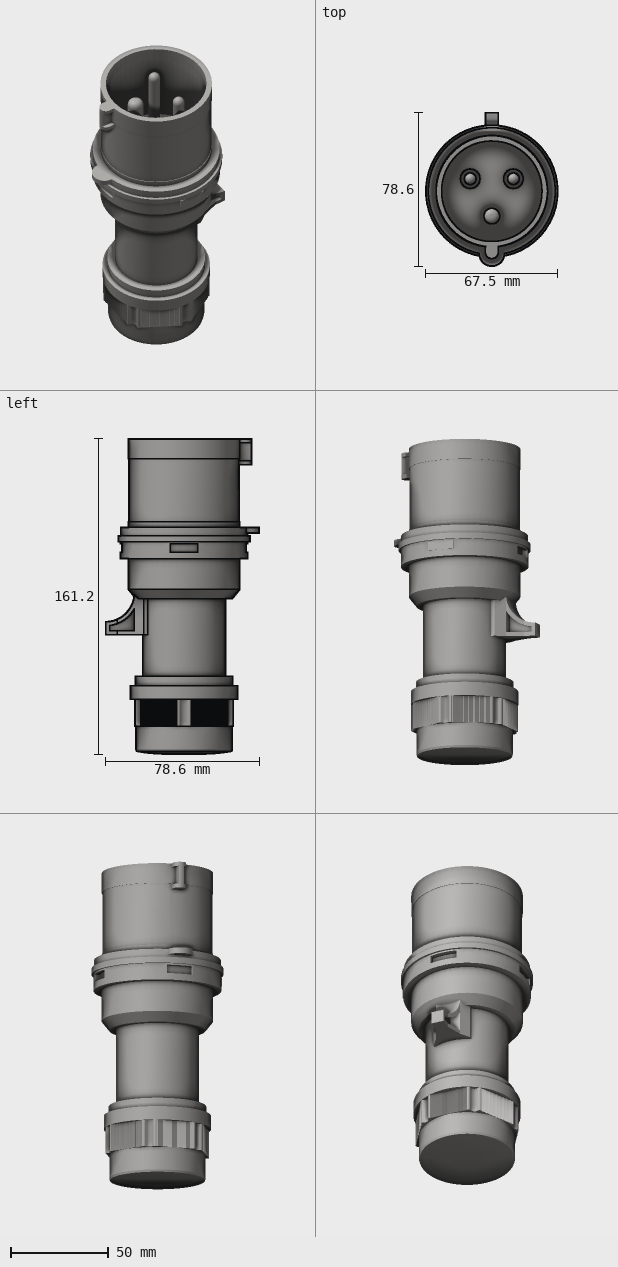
import cadquery as cq
import math

CAP_CORNER_Z = 1.5
CAP_EDGE_Z = 2.5
KNURL_BOTTOM_Z = 14.4
KNURL_TOP_Z = 28.0
NUT_TOP_Z = 35.0
NECK_BOTTOM_Z = 39.8
CONE_BOTTOM_Z = 79.5
CONE_TOP_Z = 84.3
COLLAR_BOTTOM_Z = 100.0
SPLIT_Z = 108.5
FLANGE_TOP_Z = 111.6
RING_TOP_Z = 116.0
ROOT_TOP_Z = 118.8
TIP_BAND_Z = 151.0
MOUTH_Z = 161.2

SHROUD_DIAMETER = 57.1
BARREL_DIAMETER = 56.5
CAVITY_DIAMETER = 51.5
FLANGE_DIAMETER = 67.5
RING_DIAMETER = 65.0
TAB_RADIUS = 6.5
TAB_REACH = 38.4
TAB_THICKNESS = 2.9
KEY_WIDTH = 6.6
KEY_REACH = 34.5
KEY_HEIGHT = 13.4
KEY_FLANGE = 2.1
KEY_WEB = 2.5

PIN_CIRCLE_RADIUS = 12.7
LIVE_PIN_DIAMETER = 6.0
EARTH_PIN_DIAMETER = 8.0
EARTH_TIP_FLAT = 2.1
SLEEVE_DIAMETER = 10.0
PIN_TOP_Z = 156.3
LIVE_PIN_ANGLES = (30, 150)
EARTH_PIN_ANGLE = 270

COLLAR_DIAMETER = 65.3
WINDOW_FLOOR_DIAMETER = 59.7
WINDOW_WIDTH = 14.2
WINDOW_HEIGHT = 4.4
WINDOW_BOTTOM_Z = 103.4
WINDOW_ANGLES = (90, 180, 270)
PAD_REACH = 32.7
CONE_SMALL_DIAMETER = 49.3
NECK_DIAMETER = 42.4
HANDLE_FOOT_DIAMETER = 50.0

LEVER_TIP_Y = 40.2
LEVER_FLARE_Y = 34.2
LEVER_ROOT_Y = 25.5
SADDLE_EDGE_Y = 20.6
LEVER_BOTTOM_Z = 61.0
LEVER_TIP_HEIGHT = 6.8
LEVER_WIDTH = 6.6
LEVER_ROOT_WIDTH = 13.2
SADDLE_WIDTH = 20.3
LEVER_RIM = 2.1
LEVER_WEB = 2.5

NUT_DIAMETER = 55.0
CAP_DIAMETER = 49.3
CAP_BEVEL = 0.3
CAP_END_DIAMETER = 19.4
SHOULDER_BULGE = 0.3
GRIP_SIDES = 6
GRIP_APOTHEM = 25.2
GRIP_TEETH = 36
TOOTH_DEPTH = 0.5
CORNER_HALF_WIDTH = 3.7
RIDGE_INNER_OFFSET = 2.18
RIDGE_RISE = 0.24
NOTCH_FLOOR_OFFSET = 1.21
NOTCH_FLOOR_RADIUS = 26.0
NOTCH_DEEPEST_RADIUS = 25.6


def disc(diameter, bottom, top):
    """Solid cylinder on the plug axis between two heights."""
    return cq.Workplane("XY").workplane(offset=bottom).circle(diameter / 2).extrude(top - bottom)


def taper(bottom_diameter, top_diameter, bottom, top):
    """Solid cone frustum on the plug axis between two heights."""
    profile = [(0, bottom), (bottom_diameter / 2, bottom), (top_diameter / 2, top), (0, top)]
    return cq.Workplane("XZ").polyline(profile).close().revolve(360, (0, 0, 0), (0, 1, 0))


def box(x_range, y_range, z_range):
    """Axis-aligned box from its low and high coordinates."""
    (x0, x1), (y0, y1), (z0, z1) = x_range, y_range, z_range
    return cq.Workplane("XY").box(x1 - x0, y1 - y0, z1 - z0, centered=False).translate((x0, y0, z0))


def pin_position(angle):
    """Centre of the contact pin at this angle round the plug axis."""
    turn = math.radians(angle)
    return (PIN_CIRCLE_RADIUS * math.cos(turn), PIN_CIRCLE_RADIUS * math.sin(turn))



def make_round_lug(radius, reach, bottom, top):
    """Lug towards -Y with parallel sides and a full round end."""
    end_center_y = radius - reach
    lug = box((-radius, radius), (end_center_y, 0), (bottom, top))
    round_end = disc(2 * radius, bottom, top).translate((0, end_center_y, 0))
    return lug.union(round_end)


def make_key():
    """I-shaped key on the -Y side of the mouth: a round lug with both sides cut back to a web."""
    bottom = MOUTH_Z - KEY_HEIGHT
    key = make_round_lug(KEY_WIDTH / 2, KEY_REACH, bottom, MOUTH_Z)
    for side in (-1, 1):
        x_range = sorted((side * KEY_WEB / 2, side * KEY_WIDTH))
        key = key.cut(box(x_range, (-KEY_REACH, 0), (bottom + KEY_FLANGE, MOUTH_Z - KEY_FLANGE)))
    return key


def make_shroud():
    """Front shell with flange, pointer tab, key and the holes for pins and sleeves."""
    shroud = disc(FLANGE_DIAMETER, SPLIT_Z, FLANGE_TOP_Z)
    shroud = shroud.union(disc(RING_DIAMETER, FLANGE_TOP_Z, RING_TOP_Z))
    shroud = shroud.union(disc(SHROUD_DIAMETER, RING_TOP_Z, ROOT_TOP_Z))
    shroud = shroud.union(disc(BARREL_DIAMETER, ROOT_TOP_Z, TIP_BAND_Z))
    shroud = shroud.union(disc(SHROUD_DIAMETER, TIP_BAND_Z, MOUTH_Z))
    shroud = shroud.union(make_round_lug(TAB_RADIUS, TAB_REACH, RING_TOP_Z - TAB_THICKNESS, RING_TOP_Z))
    shroud = shroud.union(make_key())
    shroud = shroud.cut(disc(CAVITY_DIAMETER, RING_TOP_Z, MOUTH_Z))
    for angle in LIVE_PIN_ANGLES:
        x, y = pin_position(angle)
        shroud = shroud.cut(disc(SLEEVE_DIAMETER, SPLIT_Z, RING_TOP_Z).translate((x, y, 0)))
    x, y = pin_position(EARTH_PIN_ANGLE)
    return shroud.cut(disc(EARTH_PIN_DIAMETER, SPLIT_Z, RING_TOP_Z).translate((x, y, 0)))



def make_live_pin(angle):
    """Round contact pin with a hemispherical tip."""
    radius = LIVE_PIN_DIAMETER / 2
    shoulder = PIN_TOP_Z - radius
    x, y = pin_position(angle)
    pin = disc(LIVE_PIN_DIAMETER, SPLIT_Z, shoulder)
    pin = pin.union(cq.Workplane("XY").sphere(radius).translate((0, 0, shoulder)))
    return pin.translate((x, y, 0))


def make_earth_pin():
    """Thicker contact pin whose rounded tip ends in a small flat."""
    x, y = pin_position(EARTH_PIN_ANGLE)
    pin = disc(EARTH_PIN_DIAMETER, SPLIT_Z, PIN_TOP_Z)
    pin = pin.faces(">Z").edges().fillet((EARTH_PIN_DIAMETER - EARTH_TIP_FLAT) / 2)
    return pin.translate((x, y, 0))


def make_sleeve(angle):
    """Insulating sleeve round a live pin, flush with the cavity floor."""
    x, y = pin_position(angle)
    sleeve = disc(SLEEVE_DIAMETER, SPLIT_Z, RING_TOP_Z)
    sleeve = sleeve.cut(disc(LIVE_PIN_DIAMETER, SPLIT_Z, RING_TOP_Z))
    return sleeve.translate((x, y, 0))



def make_collar():
    """Collar with three window recesses, and a flat pad of the same size on the +X side."""
    collar = disc(COLLAR_DIAMETER, COLLAR_BOTTOM_Z, SPLIT_Z)
    half_width = WINDOW_WIDTH / 2
    z_range = (WINDOW_BOTTOM_Z, WINDOW_BOTTOM_Z + WINDOW_HEIGHT)
    window = box((0, COLLAR_DIAMETER), (-half_width, half_width), z_range)
    window = window.cut(disc(WINDOW_FLOOR_DIAMETER, *z_range))
    for angle in WINDOW_ANGLES:
        collar = collar.cut(window.rotate((0, 0, 0), (0, 0, 1), angle))
    return collar.union(box((0, PAD_REACH), (-half_width, half_width), z_range))


def make_lever():
    """Thumb lever: a plan outline that flares into a saddle, cut to a quarter-round profile."""
    sweep_radius = LEVER_TIP_Y - LEVER_ROOT_Y
    tip_top = LEVER_BOTTOM_Z + LEVER_TIP_HEIGHT
    lever_top = tip_top + sweep_radius
    sweep_center = (LEVER_TIP_Y, lever_top)

    half_plan = [
        (SADDLE_WIDTH / 2, 0),
        (SADDLE_WIDTH / 2, SADDLE_EDGE_Y),
        (LEVER_ROOT_WIDTH / 2, LEVER_ROOT_Y),
        (LEVER_WIDTH / 2, LEVER_FLARE_Y),
        (LEVER_WIDTH / 2, LEVER_TIP_Y),
    ]
    plan = half_plan + [(-x, y) for x, y in reversed(half_plan)]
    lever = cq.Workplane("XY").workplane(offset=LEVER_BOTTOM_Z).polyline(plan).close()
    lever = lever.extrude(lever_top - LEVER_BOTTOM_Z)

    def sweep_cylinder(radius):
        cylinder = cq.Workplane("YZ").center(*sweep_center).circle(radius)
        return cylinder.extrude(SADDLE_WIDTH / 2, both=True)

    lever = lever.cut(sweep_cylinder(sweep_radius))
    for side in (-1, 1):
        pocket = box(
            sorted((side * LEVER_WEB / 2, side * SADDLE_WIDTH)),
            (LEVER_ROOT_Y, LEVER_TIP_Y - LEVER_RIM),
            (LEVER_BOTTOM_Z + LEVER_RIM, lever_top),
        )
        lever = lever.cut(pocket.cut(sweep_cylinder(sweep_radius + LEVER_RIM)))
    return lever


def make_handle():
    """Grip body: collar, barrel, cone, neck and foot, with the thumb lever."""
    handle = make_collar()
    handle = handle.union(disc(SHROUD_DIAMETER, CONE_TOP_Z, COLLAR_BOTTOM_Z))
    handle = handle.union(taper(CONE_SMALL_DIAMETER, SHROUD_DIAMETER, CONE_BOTTOM_Z, CONE_TOP_Z))
    handle = handle.union(disc(NECK_DIAMETER, NECK_BOTTOM_Z, CONE_BOTTOM_Z))
    handle = handle.union(disc(HANDLE_FOOT_DIAMETER, NUT_TOP_Z, NECK_BOTTOM_Z))
    return handle.union(make_lever())



def make_grip():
    """Hexagonal grip: toothed flats, and at each corner a rounded notch between two ridges."""
    half_turn = math.pi / GRIP_SIDES
    ridge_radius = (GRIP_APOTHEM - CORNER_HALF_WIDTH * math.sin(half_turn)) / math.cos(half_turn)
    ridge_middle = (CORNER_HALF_WIDTH + RIDGE_INNER_OFFSET) / 2
    flat_half_length = ridge_radius * math.sin(half_turn) - CORNER_HALF_WIDTH * math.cos(half_turn)
    tooth_pitch = 2 * flat_half_length / GRIP_TEETH

    def at(turn, outward, sideways):
        x = outward * math.cos(turn) - sideways * math.sin(turn)
        y = outward * math.sin(turn) + sideways * math.cos(turn)
        return (x, y)

    outline = cq.Workplane("XY").workplane(offset=KNURL_BOTTOM_Z)
    outline = outline.moveTo(*at(0, ridge_radius, -CORNER_HALF_WIDTH))
    for side in range(GRIP_SIDES):
        corner = 2 * half_turn * side
        flat = corner + half_turn
        crest = ridge_radius + RIDGE_RISE
        outline = outline.threePointArc(
            at(corner, crest, -ridge_middle), at(corner, ridge_radius, -RIDGE_INNER_OFFSET)
        )
        outline = outline.lineTo(*at(corner, NOTCH_FLOOR_RADIUS, -NOTCH_FLOOR_OFFSET))
        outline = outline.threePointArc(
            at(corner, NOTCH_DEEPEST_RADIUS, 0), at(corner, NOTCH_FLOOR_RADIUS, NOTCH_FLOOR_OFFSET)
        )
        outline = outline.lineTo(*at(corner, ridge_radius, RIDGE_INNER_OFFSET))
        outline = outline.threePointArc(
            at(corner, crest, ridge_middle), at(corner, ridge_radius, CORNER_HALF_WIDTH)
        )
        for tooth in range(GRIP_TEETH):
            start = tooth * tooth_pitch - flat_half_length
            outline = outline.lineTo(*at(flat, GRIP_APOTHEM - TOOTH_DEPTH, start + tooth_pitch / 2))
            if side < GRIP_SIDES - 1 or tooth < GRIP_TEETH - 1:
                outline = outline.lineTo(*at(flat, GRIP_APOTHEM, start + tooth_pitch))
    return outline.close().extrude(KNURL_TOP_Z - KNURL_BOTTOM_Z)


def make_cap():
    """Round end cap with a narrow bevel and a curved shoulder down to a flat end face."""
    radius = CAP_DIAMETER / 2
    rim = radius - CAP_BEVEL
    end_radius = CAP_END_DIAMETER / 2
    shoulder_middle = ((rim + end_radius) / 2, CAP_CORNER_Z / 2 - SHOULDER_BULGE)
    profile = cq.Workplane("XZ").moveTo(0, KNURL_BOTTOM_Z).lineTo(radius, KNURL_BOTTOM_Z)
    profile = profile.lineTo(radius, CAP_EDGE_Z).lineTo(rim, CAP_CORNER_Z)
    profile = profile.threePointArc(shoulder_middle, (end_radius, 0)).lineTo(0, 0).close()
    return profile.revolve(360, (0, 0, 0), (0, 1, 0))


def make_gland_nut():
    """Clamping nut at the cable end: plain ring, hexagonal grip and end cap."""
    return disc(NUT_DIAMETER, KNURL_TOP_Z, NUT_TOP_Z).union(make_grip()).union(make_cap())


shroud = make_shroud()
handle = make_handle()
gland_nut = make_gland_nut()
earth_pin = make_earth_pin()
live_pins = [make_live_pin(angle) for angle in LIVE_PIN_ANGLES]
sleeves = [make_sleeve(angle) for angle in LIVE_PIN_ANGLES]

bodies = [shroud, handle, gland_nut, earth_pin, *live_pins, *sleeves]
result = cq.Compound.makeCompound([body.solids().val() for body in bodies])